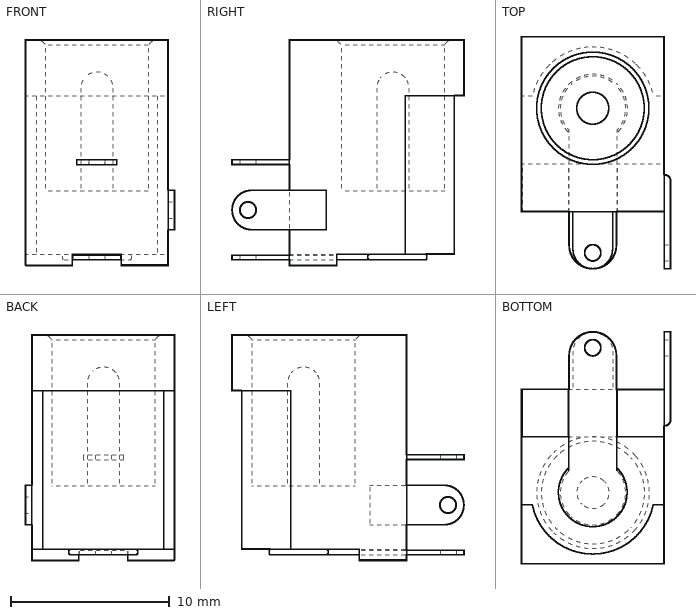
import cadquery as cq
import math


height = 14.2
half_width = 4.5
axis_to_back = 4.5
axis_to_front = 6.5
base_z = 0.73
flange_thickness = 3.5
shell_radius = 3.88
block_back_y = 0.79

foot_length = 3.0
foot_gap = 3.07
foot_chamfer = 0.06

bore_radius = 3.24
bore_depth = 9.49
mouth_chamfer = 0.29
pin_radius = 1.01
pin_tip_depth = 2.0

terminal_reach = 3.6
terminal_thickness = 0.3
terminal_width = 2.5
bottom_terminal_width = 3.0
bottom_terminal_z = 0.36
back_terminal_z = 6.37
side_terminal_thickness = 0.41
side_terminal_length = 5.93
side_terminal_z = 3.5
eye_diameter = 1.01
eye_to_tip = 1.01

head_radius = 2.16
head_rounding = 0.12

front_y = -axis_to_front
tip_y = front_y - terminal_reach
eye_y = tip_y + eye_to_tip
foot_back_y = front_y + foot_length


def box(x_min, x_max, y_min, y_max, z_min, z_max):
    size = (x_max - x_min, y_max - y_min, z_max - z_min)
    return cq.Workplane("XY").box(*size, centered=False).translate((x_min, y_min, z_min))


def make_housing():
    flange_z = height - flange_thickness
    flange = box(-half_width, half_width, front_y, axis_to_back, flange_z, height)
    block = box(-half_width, half_width, front_y, block_back_y, base_z, height)
    shell = cq.Workplane("XY").workplane(offset=base_z).circle(shell_radius).extrude(flange_z - base_z)
    return flange.union(block).union(shell)


def make_feet():
    inner_x = foot_gap / 2
    left = box(-half_width, -inner_x, front_y, foot_back_y, 0, base_z)
    right = box(inner_x, half_width, front_y, foot_back_y, 0, base_z)
    left = left.faces("<Z").edges("<X").chamfer(foot_chamfer)
    right = right.faces("<Z").edges("<Y").chamfer(foot_chamfer)
    return left.union(right)


def cut_socket(body):
    bore = cq.Workplane("XY").workplane(offset=height - bore_depth).circle(bore_radius).extrude(bore_depth)
    body = body.cut(bore)
    mouth = (
        cq.Workplane("XY").workplane(offset=height)
        .circle(bore_radius + mouth_chamfer)
        .workplane(offset=-mouth_chamfer).circle(bore_radius).loft()
    )
    return body.cut(mouth)


def make_pin():
    pin_z = height - bore_depth - pin_radius
    pin_length = height - pin_tip_depth - pin_z
    pin = cq.Workplane("XY").workplane(offset=pin_z).circle(pin_radius).extrude(pin_length - pin_radius)
    tip = cq.Workplane("XY").sphere(pin_radius).translate((0, 0, pin_z + pin_length - pin_radius))
    return pin.union(tip)


def lug(plane, center, width, root_y, thickness):
    """Flat terminal with a round end and an eye; center is its middle line across the width."""
    half = width / 2
    round_y = tip_y + half
    return (
        cq.Workplane(plane)
        .moveTo(root_y, center - half)
        .lineTo(round_y, center - half)
        .threePointArc((tip_y, center), (round_y, center + half))
        .lineTo(root_y, center + half)
        .close()
        .moveTo(eye_y, center).circle(eye_diameter / 2)
        .extrude(thickness)
    )


flat_plane = cq.Plane(origin=(0, 0, 0), xDir=(0, 1, 0), normal=(0, 0, -1))


def flat_lug(width, root_y, bottom_z):
    top_z = bottom_z + terminal_thickness
    return lug(flat_plane, 0, width, root_y, terminal_thickness).translate((0, 0, top_z))


def make_side_terminal():
    back_y = tip_y + side_terminal_length
    terminal = lug("YZ", side_terminal_z, terminal_width, back_y, side_terminal_thickness)
    terminal = terminal.translate((half_width, 0, 0))
    bend_x = half_width + side_terminal_thickness
    bend_y = back_y - side_terminal_thickness
    arc_offset = side_terminal_thickness * math.sqrt(0.5)
    bend_waste = (
        cq.Workplane("XY")
        .moveTo(bend_x, bend_y)
        .threePointArc((half_width + arc_offset, bend_y + arc_offset), (half_width, back_y))
        .lineTo(bend_x, back_y)
        .close()
        .extrude(height)
    )
    return terminal.cut(bend_waste)


def make_bottom_contact():
    half = bottom_terminal_width / 2
    head = (
        cq.Workplane("XY").workplane(offset=bottom_terminal_z)
        .circle(head_radius).extrude(base_z - bottom_terminal_z)
        .edges("%CIRCLE").fillet(head_rounding)
    )
    strip = box(-half, half, foot_back_y, 0, bottom_terminal_z, base_z)
    terminal = flat_lug(bottom_terminal_width, foot_back_y, bottom_terminal_z)
    return head.union(strip).union(terminal)


result = cut_socket(make_housing().union(make_feet()))
result = result.union(make_pin())
result = result.union(flat_lug(terminal_width, front_y, back_terminal_z))
result = result.union(make_side_terminal())
result = result.union(make_bottom_contact())